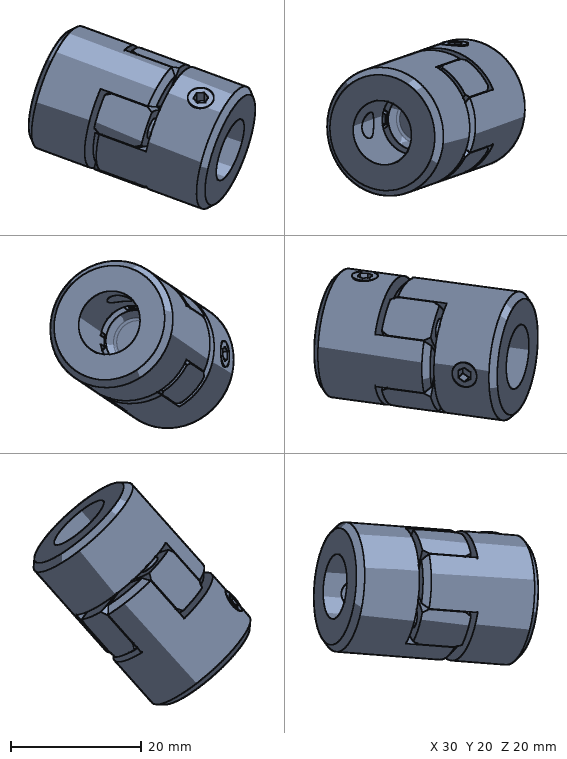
import cadquery as cq
import math


length = 30.0
outer_radius = length / 3
bore_radius = outer_radius / 2
hub_body_length = length / 3
end_gap = 1.0
hub_chamfer = 1.0

flank_radius = 10.5
flank_centre = 7.3
pocket_half_width = 3.57
flank_start = 3.0
flank_end = 10.2
arm_clearance = 0.1
arm_chamfer_depth = 0.5
arm_chamfer_length = 1.0

core_radius = 4.75
dish_radius = 4.47
dish_cone_depth = 0.9
dish_fillet = 0.63
button_radius = 1.62
button_height = 0.6
button_offset = 7.0

screw_radius = 2.0
hex_across_flats = 2.0
hex_depth = 2.0
hex_turn = 30

mid_x = length / 2
jaw_tip_x = length - hub_body_length - end_gap
spider_half_length = mid_x - hub_body_length - end_gap
screw_x = hub_body_length / 2
diagonal = math.sqrt(0.5)


def flank_width(along, clearance):
    """Half width of an arm (or of the space between jaws) at a distance along it."""
    radius = flank_radius - clearance
    sag = radius - math.sqrt(radius**2 - (along - flank_centre) ** 2)
    return pocket_half_width - clearance - sag


def jaw_flank(along, side):
    """Point (y, z) on a flank of the jaw at +Z; side is +1 or -1 for the two flanks."""
    across = flank_width(along, 0)
    return (side * (along - across) * diagonal, (along + across) * diagonal)


def revolve_about_x(outline):
    return cq.Workplane("XY").polyline(outline).close().revolve(360, (0, 0, 0), (1, 0, 0))


def make_hub():
    """Left-end hub with its jaws at +Z and -Z and its screw hole at +Y."""
    chamfered_radius = outer_radius - hub_chamfer
    body = revolve_about_x([
        (0, bore_radius),
        (0, chamfered_radius),
        (hub_chamfer, outer_radius),
        (hub_body_length, outer_radius),
        (hub_body_length, bore_radius),
    ])
    jaw_ring = revolve_about_x([
        (hub_body_length, bore_radius),
        (hub_body_length, outer_radius),
        (jaw_tip_x - hub_chamfer, outer_radius),
        (jaw_tip_x, chamfered_radius),
        (jaw_tip_x, bore_radius),
    ])
    jaw_prism = (
        cq.Workplane("YZ")
        .workplane(offset=hub_body_length)
        .moveTo(*jaw_flank(flank_start, -1))
        .threePointArc(jaw_flank(flank_centre, -1), jaw_flank(flank_end, -1))
        .lineTo(0, 2 * outer_radius)
        .lineTo(*jaw_flank(flank_end, 1))
        .threePointArc(jaw_flank(flank_centre, 1), jaw_flank(flank_start, 1))
        .close()
        .extrude(jaw_tip_x - hub_body_length)
    )
    jaw = jaw_ring.intersect(jaw_prism)
    hub = body
    for angle in (0, 180):
        hub = hub.union(jaw.rotate((0, 0, 0), (1, 0, 0), angle))
    screw_hole = cq.Workplane("XZ").center(screw_x, 0).circle(screw_radius).extrude(-length)
    return hub.cut(screw_hole)


def make_screw():
    """Left-end set screw along +Y with a hex socket; its tip follows the wall of the bore."""
    corner_diameter = hex_across_flats / math.cos(math.radians(30))
    screw = (
        cq.Workplane("XZ", origin=(screw_x, 0, 0))
        .circle(screw_radius)
        .extrude(-outer_radius)
    )
    bore = cq.Workplane("YZ").circle(bore_radius).extrude(hub_body_length)
    socket = (
        cq.Workplane("XZ", origin=(screw_x, outer_radius, 0))
        .polygon(6, corner_diameter)
        .extrude(hex_depth)
        .rotate((screw_x, 0, 0), (screw_x, 1, 0), hex_turn)
    )
    return screw.cut(bore).cut(socket)


def place_at_end(body, end):
    """Keep a left-end body, or turn it end for end and a quarter about X for the right end."""
    if end == "left":
        return body
    turned = body.rotate((mid_x, 0, 0), (mid_x, 0, 1), 180)
    return turned.rotate((0, 0, 0), (1, 0, 0), -90)


def arm_flank(along, side):
    """Point on a flank of an arm lying along local +Y."""
    return (along, side * flank_width(along, arm_clearance))


def make_arm():
    """One arm along +Y, with its flanks chamfered at both faces."""
    inner_half_width = flank_width(flank_start, arm_clearance)
    half = (
        cq.Workplane("YZ")
        .workplane(offset=mid_x)
        .moveTo(0, -inner_half_width)
        .lineTo(*arm_flank(flank_start, -1))
        .threePointArc(arm_flank(flank_centre, -1), arm_flank(flank_end, -1))
        .lineTo(*arm_flank(flank_end, 1))
        .threePointArc(arm_flank(flank_centre, 1), arm_flank(flank_start, 1))
        .lineTo(0, inner_half_width)
        .close()
        .extrude(-spider_half_length)
    )
    half = half.faces("<X").edges("%CIRCLE").chamfer(arm_chamfer_length, arm_chamfer_depth)
    whole = half.union(half.mirror("YZ", (mid_x, 0, 0)))
    rim = cq.Workplane("YZ").circle(outer_radius).extrude(length)
    return whole.intersect(rim)


def make_button(direction):
    """Button on an arm along +Y; direction is -1 for its left face and +1 for its right face."""
    return (
        cq.Workplane("YZ")
        .workplane(offset=mid_x)
        .center(button_offset, 0)
        .circle(button_radius)
        .extrude(direction * (spider_half_length + button_height))
    )


def make_dish():
    """Recess in the left face of the core: a cone, a fillet and a flat floor."""
    face_x = mid_x - spider_half_length
    bend = math.pi / 4
    cone_end_radius = dish_radius - dish_cone_depth
    floor_radius = cone_end_radius - dish_fillet * math.sin(bend)
    floor_depth = dish_cone_depth + dish_fillet * (1 - math.cos(bend))
    middle_radius = floor_radius + dish_fillet * math.sin(bend / 2)
    middle_depth = floor_depth - dish_fillet * (1 - math.cos(bend / 2))
    return (
        cq.Workplane("XY")
        .moveTo(face_x, 0)
        .lineTo(face_x, dish_radius)
        .lineTo(face_x + dish_cone_depth, cone_end_radius)
        .threePointArc((face_x + middle_depth, middle_radius), (face_x + floor_depth, floor_radius))
        .lineTo(face_x + floor_depth, 0)
        .close()
        .revolve(360, (0, 0, 0), (1, 0, 0))
    )


def make_spider():
    spider = (
        cq.Workplane("YZ")
        .workplane(offset=mid_x - spider_half_length)
        .circle(core_radius)
        .extrude(2 * spider_half_length)
    )
    arm = make_arm()
    for angle, button_direction in ((45, -1), (135, 1), (225, -1), (315, 1)):
        arm_with_button = arm.union(make_button(button_direction))
        spider = spider.union(arm_with_button.rotate((0, 0, 0), (1, 0, 0), angle))
    dish = make_dish()
    return spider.cut(dish).cut(dish.mirror("YZ", (mid_x, 0, 0)))


hubs = []
screws = []
for end in ("left", "right"):
    hubs.append(place_at_end(make_hub(), end))
    screws.append(place_at_end(make_screw(), end))
spider = make_spider()

bodies = [*hubs, spider, *screws]
result = cq.Compound.makeCompound([body.solids().val() for body in bodies])